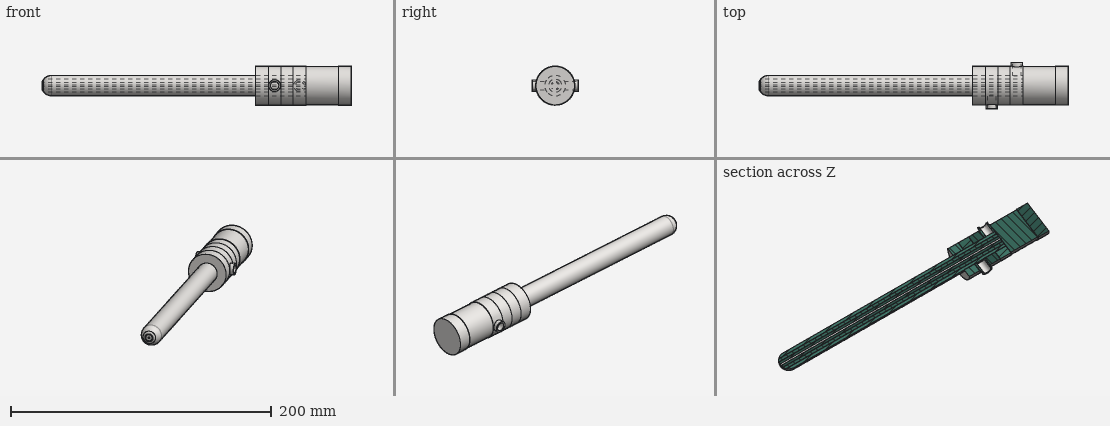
import cadquery as cq
import math

total_length = 237.0
collar_start = 163.5
end_part_length = 10.0
middle_ring_length = 9.5
front_port_ring_start = collar_start + end_part_length
spacer_start = front_port_ring_start + middle_ring_length
rear_port_ring_start = spacer_start + middle_ring_length
barrel_start = rear_port_ring_start + end_part_length
cap_start = total_length - end_part_length

outer_tube_diameter = 15.9
inner_tube_diameter = 10.0
core_diameter = 5.0
core_bore_diameter = 1.2
tip_diameter = 6.5

collar_diameter = 30.0
barrel_diameter = 29.5

port_span = 35.5
port_diameter = 9.0
port_bore_diameter = 6.5


def cylinder(start, end, diameter):
    """Solid cylinder along the X axis."""
    return (
        cq.Workplane("YZ")
        .workplane(offset=start)
        .circle(diameter / 2)
        .extrude(end - start)
    )


def tube(start, end, outer_diameter, bore_diameter):
    """Hollow cylinder along the X axis."""
    return cylinder(start, end, outer_diameter).cut(cylinder(start, end, bore_diameter))


def probe_envelope():
    """Rod with a spherical nose, tangent to its side and cut flat at the tip."""
    rod_radius = outer_tube_diameter / 2
    tip_radius = tip_diameter / 2
    nose_length = math.sqrt(rod_radius**2 - tip_radius**2)
    middle_angle = (math.asin(tip_radius / rod_radius) + math.pi / 2) / 2
    arc_middle = (
        nose_length - rod_radius * math.cos(middle_angle),
        rod_radius * math.sin(middle_angle),
    )
    return (
        cq.Workplane("XY")
        .moveTo(0, 0)
        .lineTo(0, tip_radius)
        .threePointArc(arc_middle, (nose_length, rod_radius))
        .lineTo(barrel_start, rod_radius)
        .lineTo(barrel_start, 0)
        .close()
        .revolve(360, (0, 0, 0), (1, 0, 0))
    )


def port_cylinder(center_x, side, diameter):
    """Cylinder from the main axis to the outer port face; side is -1 or +1 along Y."""
    return (
        cq.Workplane("XZ", origin=(center_x, 0, 0))
        .circle(diameter / 2)
        .extrude(-side * port_span / 2)
    )


def handle_ring(start, length):
    """Plain ring that fits around the outer tube."""
    return tube(start, start + length, collar_diameter, outer_tube_diameter)


def port_ring(start, length, side):
    """Ring with one hollow side port whose bore opens onto the outer tube."""
    center_x = start + length / 2
    body = cylinder(start, start + length, collar_diameter)
    body = body.union(port_cylinder(center_x, side, port_diameter))
    body = body.cut(port_cylinder(center_x, side, port_bore_diameter))
    return body.cut(cylinder(start, start + length, outer_tube_diameter))


envelope = probe_envelope()
outer_tube = envelope.cut(cylinder(0, barrel_start, inner_tube_diameter))
inner_tube = envelope.intersect(tube(0, barrel_start, inner_tube_diameter, core_diameter))
core = tube(0, barrel_start, core_diameter, core_bore_diameter)

front_collar = handle_ring(collar_start, end_part_length)
front_port_ring = port_ring(front_port_ring_start, middle_ring_length, -1)
spacer_ring = handle_ring(spacer_start, middle_ring_length)
rear_port_ring = port_ring(rear_port_ring_start, end_part_length, 1)
barrel = cylinder(barrel_start, cap_start, barrel_diameter)
end_cap = cylinder(cap_start, total_length, collar_diameter)

result = cq.Compound.makeCompound([
    outer_tube.val(),
    inner_tube.val(),
    core.val(),
    front_collar.val(),
    front_port_ring.val(),
    spacer_ring.val(),
    rear_port_ring.val(),
    barrel.val(),
    end_cap.val(),
])